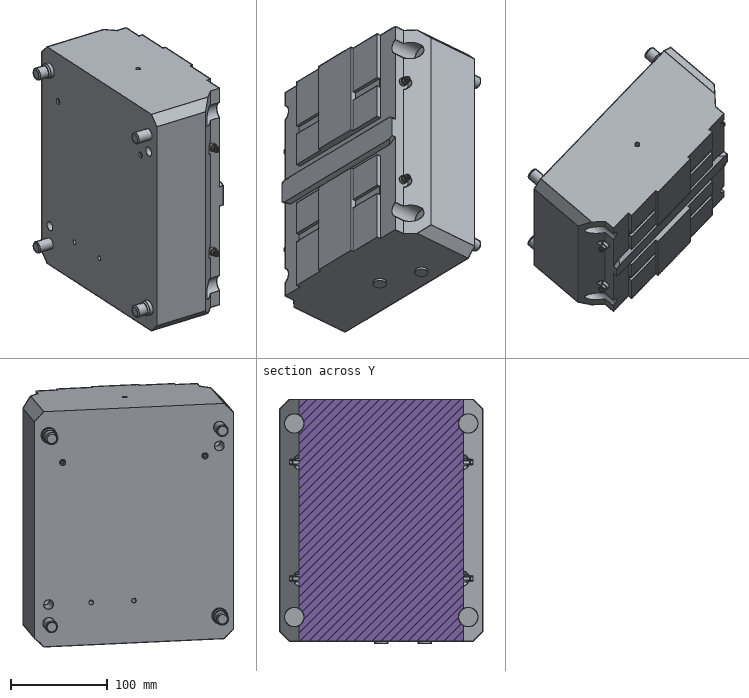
import cadquery as cq
import math

BODY_WIDTH = 210.0
BODY_HEIGHT = 250.0
BODY_DEPTH = 92.5
HALF_HEIGHT = BODY_HEIGHT / 2
CORNER_CHAMFER = 10.0
BACK_WIDTH = 170.2
SHOULDER_DEPTH = 60.9
BACK_CHAMFER = (BODY_WIDTH - BACK_WIDTH) / 2

SLIDE_FLANGE_WIDTH = 140.0
SLIDE_NECK_WIDTH = 124.2
SLIDE_RAIL_WIDTH = 50.0
SLIDE_FLOOR = 60.5
SLIDE_FLANGE_TOP = 75.0
SLIDE_BACK = 97.0
SLIDE_RAIL_TOP = 100.0
SLIDE_GAP = 47.0
SLIDE_LENGTH = (BODY_HEIGHT - SLIDE_GAP) / 2
NOTCH_WIDTH = 10.0
NOTCH_DEPTH = 3.3
NOTCH_FROM_END = 58.8

BAR_FOOT_HALF = 16.2
BAR_TOP_HALF = 13.5
BAR_TIP_HALF = 11.0
BAR_CORNER_LENGTH = 8.8

PIN_SPACING_X = 179.8
PIN_FROM_END = 25.0
PIN_DIAMETER = 12.0
COLLARED_PIN_DIAMETER = 13.0
PIN_LENGTH = 17.5
PIN_TIP_DIAMETER = 10.0
PIN_TIP_LENGTH = 1.3
COLLAR_DIAMETER = 16.0
COLLAR_TIP_DIAMETER = 14.0
COLLAR_LENGTH = 6.0
COLLAR_STRAIGHT = 4.0
ACCESS_DIAMETER = 20.0

DRILL_POINT_ANGLE = 118
DOWEL_DIAMETER = 10.0
DOWEL_FROM_END = 45.0
DOWEL_DEPTH = 20.2
PORT_DIAMETER = 4.8
PORT_HEIGHT = 45.0
PORT_SPACING = 45.0
PORT_DEPTH = 15.2
END_PORT_Y = 48.7
SCREW_SPACING_X = 150.0
SCREW_FROM_TOP = 55.0
SCREW_HEAD_DIAMETER = 6.0
SCREW_HEAD_DEPTH = 2.0
SCREW_DIAMETER = 3.0

NIPPLE_SPACING_Z = 120.2
NIPPLE_Y = 82.8
SPOT_FACE_DIAMETER = 16.0
NIPPLE_FLANGE_DIAMETER = 8.3
NIPPLE_FLANGE_LENGTH = 3.3
NIPPLE_DIAMETER = 6.0
NIPPLE_GROOVE_DIAMETER = 4.8
NIPPLE_GROOVE_START = 6.0
NIPPLE_GROOVE_END = 7.0
NIPPLE_TIP_START = 8.5
NIPPLE_LENGTH = 9.8
NIPPLE_BORE = 3.0

BOSS_DIAMETER = 14.0
BOSS_HEIGHT = 2.5
BOSS_CENTRES = [(-PORT_SPACING, 20.0), (0, 37.5)]

FORWARD = (0, -1, 0)
INWARD = (0, 1, 0)
DOWN = (0, 0, -1)


def box(x_limits, y_limits, z_limits):
    """Box given by its lower and upper limit along each axis."""
    limits = (x_limits, y_limits, z_limits)
    sizes = [high - low for low, high in limits]
    corner = tuple(low for low, high in limits)
    return cq.Workplane("XY").box(*sizes, centered=False).translate(corner)


def revolved(profile, start, direction):
    """Solid turned about the line through start; profile holds (radius, distance along it)."""
    points = [(0, profile[0][1])] + profile
    if profile[-1][0] > 0:
        points.append((0, profile[-1][1]))
    plane = cq.Plane(origin=start, normal=direction)
    turned = cq.Workplane("XZ").polyline(points).close().revolve(360, (0, 0), (0, 1))
    return cq.Workplane(turned.val().moved(plane.location))


def rod(diameter, length, start, direction):
    return revolved([(diameter / 2, 0), (diameter / 2, length)], start, direction)


def drilled_hole(diameter, depth, start, direction):
    """Blind hole with a conical drill point beyond its full-diameter depth."""
    radius = diameter / 2
    point_length = radius / math.tan(math.radians(DRILL_POINT_ANGLE / 2))
    return revolved([(radius, 0), (radius, depth), (0, depth + point_length)], start, direction)


def make_body():
    outline = [
        (-BODY_WIDTH / 2, 0),
        (BODY_WIDTH / 2, 0),
        (BODY_WIDTH / 2, SHOULDER_DEPTH),
        (BACK_WIDTH / 2, SHOULDER_DEPTH + BACK_CHAMFER),
        (BACK_WIDTH / 2, BODY_DEPTH),
        (-BACK_WIDTH / 2, BODY_DEPTH),
        (-BACK_WIDTH / 2, SHOULDER_DEPTH + BACK_CHAMFER),
        (-BODY_WIDTH / 2, SHOULDER_DEPTH),
    ]
    block = cq.Workplane("XY").polyline(outline).close().extrude(BODY_HEIGHT)
    envelope = box((-BODY_WIDTH / 2, BODY_WIDTH / 2), (0, BODY_DEPTH), (0, BODY_HEIGHT))
    return block.intersect(envelope.edges("|Y").chamfer(CORNER_CHAMFER))


def make_bar():
    section = [
        (BODY_DEPTH, -BAR_FOOT_HALF),
        (SLIDE_BACK, -BAR_TOP_HALF),
        (SLIDE_BACK, BAR_TOP_HALF),
        (BODY_DEPTH, BAR_FOOT_HALF),
    ]
    bar = cq.Workplane("YZ").polyline(section).close().extrude(BACK_WIDTH / 2, both=True)
    tip_x = BACK_WIDTH / 2
    inner_x = tip_x - BAR_CORNER_LENGTH
    plan = [
        (-tip_x, -BAR_TIP_HALF),
        (-inner_x, -BAR_FOOT_HALF),
        (inner_x, -BAR_FOOT_HALF),
        (tip_x, -BAR_TIP_HALF),
        (tip_x, BAR_TIP_HALF),
        (inner_x, BAR_FOOT_HALF),
        (-inner_x, BAR_FOOT_HALF),
        (-tip_x, BAR_TIP_HALF),
    ]
    corner_cut = cq.Workplane("XZ").polyline(plan).close().extrude(-SLIDE_BACK)
    return bar.intersect(corner_cut).translate((0, 0, HALF_HEIGHT))


def make_slide(bottom):
    """T-shaped slide with a raised centre rail and a shallow cross notch on each side of it."""
    half_rail = SLIDE_RAIL_WIDTH / 2
    half_neck = SLIDE_NECK_WIDTH / 2
    half_flange = SLIDE_FLANGE_WIDTH / 2
    right_side = [
        (half_flange, SLIDE_FLOOR),
        (half_flange, SLIDE_FLANGE_TOP),
        (half_neck, SLIDE_FLANGE_TOP),
        (half_neck, SLIDE_BACK),
        (half_rail, SLIDE_BACK),
        (half_rail, SLIDE_RAIL_TOP),
    ]
    left_side = [(-x, y) for x, y in reversed(right_side)]
    slide = cq.Workplane("XY").polyline(right_side + left_side).close().extrude(SLIDE_LENGTH)
    slide = slide.translate((0, 0, bottom))
    notch_z = NOTCH_FROM_END if bottom == 0 else BODY_HEIGHT - NOTCH_FROM_END
    z_limits = (notch_z - NOTCH_WIDTH / 2, notch_z + NOTCH_WIDTH / 2)
    y_limits = (SLIDE_BACK - NOTCH_DEPTH, SLIDE_BACK)
    for x_limits in [(-half_neck, -half_rail), (half_rail, half_neck)]:
        slide = slide.cut(box(x_limits, y_limits, z_limits))
    return slide


def make_slide_pocket(bottom):
    """Room in the body for one slide, matching its flange and neck."""
    z_limits = (bottom, bottom + SLIDE_LENGTH)
    half_flange = SLIDE_FLANGE_WIDTH / 2
    half_neck = SLIDE_NECK_WIDTH / 2
    flange = box((-half_flange, half_flange), (SLIDE_FLOOR, SLIDE_FLANGE_TOP), z_limits)
    neck = box((-half_neck, half_neck), (SLIDE_FLOOR, BODY_DEPTH), z_limits)
    return flange.union(neck)


def make_pin(x, z, collared):
    radius = (COLLARED_PIN_DIAMETER if collared else PIN_DIAMETER) / 2
    shank = [
        (radius, PIN_LENGTH - PIN_TIP_LENGTH),
        (PIN_TIP_DIAMETER / 2, PIN_LENGTH),
    ]
    base = [(radius, 0)]
    if collared:
        base = [
            (COLLAR_DIAMETER / 2, 0),
            (COLLAR_DIAMETER / 2, COLLAR_STRAIGHT),
            (COLLAR_TIP_DIAMETER / 2, COLLAR_LENGTH),
            (radius, COLLAR_LENGTH),
        ]
    return revolved(base + shank, (x, 0, z), FORWARD)


def make_nipple(side):
    profile = [
        (NIPPLE_FLANGE_DIAMETER / 2, 0),
        (NIPPLE_FLANGE_DIAMETER / 2, NIPPLE_FLANGE_LENGTH),
        (NIPPLE_DIAMETER / 2, NIPPLE_FLANGE_LENGTH),
        (NIPPLE_DIAMETER / 2, NIPPLE_GROOVE_START),
        (NIPPLE_GROOVE_DIAMETER / 2, NIPPLE_GROOVE_START),
        (NIPPLE_GROOVE_DIAMETER / 2, NIPPLE_GROOVE_END),
        (NIPPLE_DIAMETER / 2, NIPPLE_GROOVE_END),
        (NIPPLE_DIAMETER / 2, NIPPLE_TIP_START),
        (NIPPLE_GROOVE_DIAMETER / 2, NIPPLE_LENGTH),
    ]
    nipple = revolved(profile, (0, 0, 0), (side, 0, 0))
    return nipple.cut(rod(NIPPLE_BORE, NIPPLE_LENGTH, (0, 0, 0), (side, 0, 0)))


pin_x = PIN_SPACING_X / 2
pin_heights = (PIN_FROM_END, BODY_HEIGHT - PIN_FROM_END)
slide_bottoms = (0, BODY_HEIGHT - SLIDE_LENGTH)

result = make_body()
for slide_bottom in slide_bottoms:
    result = result.cut(make_slide_pocket(slide_bottom))

for side in (-1, 1):
    for height in pin_heights:
        bore_start = (side * pin_x, SHOULDER_DEPTH, height)
        result = result.cut(rod(ACCESS_DIAMETER, BODY_DEPTH - SHOULDER_DEPTH, bore_start, INWARD))

for side, height in [(-1, DOWEL_FROM_END), (1, BODY_HEIGHT - DOWEL_FROM_END)]:
    result = result.cut(drilled_hole(DOWEL_DIAMETER, DOWEL_DEPTH, (side * pin_x, 0, height), INWARD))

for port_x in (-PORT_SPACING, 0):
    result = result.cut(drilled_hole(PORT_DIAMETER, PORT_DEPTH, (port_x, 0, PORT_HEIGHT), INWARD))
top_port = (0, END_PORT_Y, BODY_HEIGHT)
result = result.cut(drilled_hole(PORT_DIAMETER, PORT_DEPTH, top_port, DOWN))

for side in (-1, 1):
    screw_start = (side * SCREW_SPACING_X / 2, 0, BODY_HEIGHT - SCREW_FROM_TOP)
    result = result.cut(rod(SCREW_HEAD_DIAMETER, SCREW_HEAD_DEPTH, screw_start, INWARD))
    result = result.cut(drilled_hole(SCREW_DIAMETER, PORT_DEPTH, screw_start, INWARD))

for side in (-1, 1):
    for offset in (-NIPPLE_SPACING_Z / 2, NIPPLE_SPACING_Z / 2):
        seat = (side * BACK_WIDTH / 2, NIPPLE_Y, HALF_HEIGHT + offset)
        result = result.cut(rod(SPOT_FACE_DIAMETER, BACK_CHAMFER, seat, (side, 0, 0)))
        result = result.union(make_nipple(side).translate(seat))

for side in (-1, 1):
    for height in pin_heights:
        is_collared = (side < 0) == (height > HALF_HEIGHT)
        result = result.union(make_pin(side * pin_x, height, is_collared))

for boss_x, boss_y in BOSS_CENTRES:
    result = result.union(rod(BOSS_DIAMETER, BOSS_HEIGHT, (boss_x, boss_y, 0), DOWN))

result = result.union(make_bar())

for slide_bottom in slide_bottoms:
    result = result.union(make_slide(slide_bottom), clean=False)